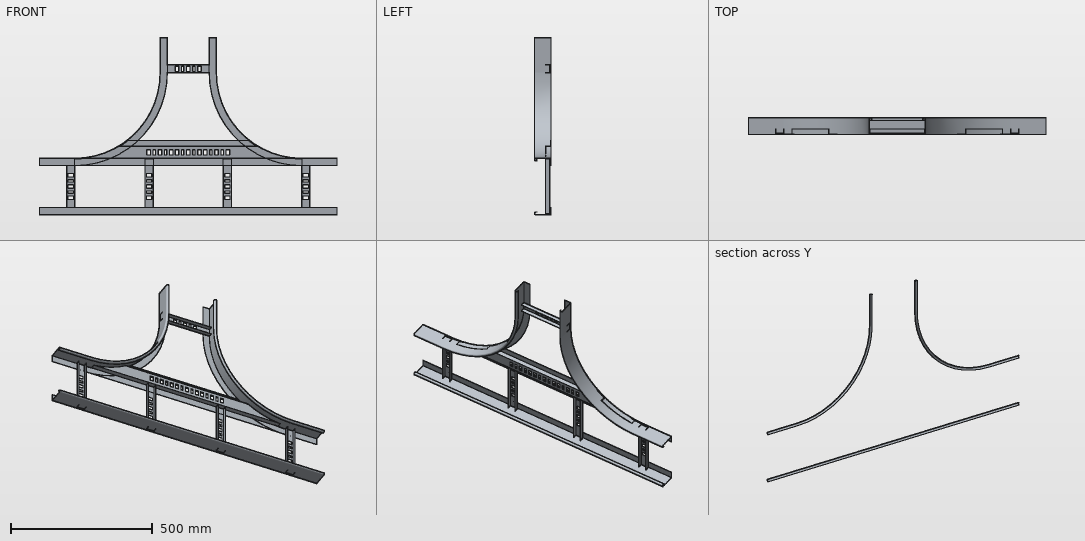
import cadquery as cq

length = 1050.0
height = 625.0
depth = 60.0
sheet = 1.4
clearance = 1.5

flange = 26.0
lip_radius = 5.0
lip_tail = 4.0
run_top = 200.0
branch_width = 200.0
bend_radius = 300.0

rung_width = 30.0
rung_depth = 16.0
rung_front = 4.7
rung_back = rung_front + rung_depth
rung_spacing = 276.0
rung_count = 4
top_rung_center = 515.0

slot_length = 18.0
wide_slot = 12.0
narrow_slot = 7.0
slot_pitch = 20.0
slots_per_row = 5

crossbar_recess_top = 240.0
crossbar_top = 262.0
crossbar_slot_rows = 3

branch_side = branch_width / 2
bend_x = branch_side + bend_radius
bend_z = run_top + bend_radius
web_underside = run_top - sheet


def rail_section(plane):
    """Closed rail outline: local x runs from the web to the flange tip, local y is the rail depth."""
    roll_y = depth - lip_radius
    return (
        cq.Workplane(plane)
        .moveTo(0, 0)
        .lineTo(flange, 0)
        .lineTo(flange, sheet)
        .lineTo(sheet, sheet)
        .lineTo(sheet, roll_y)
        .threePointArc((lip_radius, depth - sheet), (2 * lip_radius - sheet, roll_y))
        .lineTo(2 * lip_radius - sheet, roll_y - lip_tail)
        .lineTo(2 * lip_radius, roll_y - lip_tail)
        .lineTo(2 * lip_radius, roll_y)
        .threePointArc((lip_radius, depth), (0, roll_y))
        .close()
    )


def make_bottom_rail():
    """Straight rail with its web at the bottom and its flanges pointing up."""
    plane = cq.Plane(origin=(length / 2, 0, 0), xDir=(0, 0, 1), normal=(-1, 0, 0))
    return rail_section(plane).extrude(length).val()


def make_left_rail():
    """Rail that comes down the branch and bends through 90 degrees into the run."""
    plane = cq.Plane(origin=(-branch_side, 0, height), xDir=(1, 0, 0), normal=(0, 0, 1))
    bend_middle = bend_radius * 0.5**0.5
    path = (
        cq.Workplane("XZ")
        .moveTo(-branch_side, height)
        .lineTo(-branch_side, bend_z)
        .threePointArc((bend_middle - bend_x, bend_z - bend_middle), (-bend_x, run_top))
        .lineTo(-length / 2, run_top)
    )
    return rail_section(plane).sweep(path).val()


def slot_cutters(rows):
    """Upright slots in rows along X, centred on the origin and cutting through along Y."""
    count = rows * slots_per_row
    cutters = cq.Workplane("XY")
    for i in range(count):
        width = wide_slot if i % slots_per_row % 2 == 0 else narrow_slot
        x = (i - (count - 1) / 2) * slot_pitch
        cutters = cutters.add(cq.Workplane("XY").box(width, 2 * sheet, slot_length).translate((x, 0, 0)))
    return cutters.combine()


def make_rung(span):
    """Channel along X, open at the back, centred on the origin with its front face at the rung front."""
    bar = cq.Workplane("XY").box(span, rung_depth, rung_width)
    bar = bar.translate((0, rung_front + rung_depth / 2, 0))
    hollow = cq.Workplane("XY").box(span, rung_depth, rung_width - 2 * sheet)
    hollow = hollow.translate((0, rung_front + sheet + rung_depth / 2, 0))
    slots = slot_cutters(1).translate((0, rung_front + sheet / 2, 0))
    return bar.cut(hollow).cut(slots)


def make_run_rungs():
    """Upright rungs between the webs of the straight run."""
    rung = make_rung(web_underside - sheet - 2 * clearance).rotate((0, 0, 0), (0, 1, 0), 90)
    center_z = (sheet + web_underside) / 2
    rungs = []
    for i in range(rung_count):
        x = (i - (rung_count - 1) / 2) * rung_spacing
        rungs.append(rung.translate((x, 0, center_z)).val())
    return rungs


def make_top_rung():
    """Level rung between the webs of the branch."""
    return make_rung(branch_width - 2 * (sheet + clearance)).translate((0, 0, top_rung_center)).val()


def make_crossbar():
    """Hat section with a slotted recessed face, trimmed to the curved webs of the side rails."""
    flange_front = sheet
    flange_back = 2 * sheet
    bar = (
        cq.Workplane("YZ")
        .polyline(
            [
                (flange_front, run_top - flange),
                (flange_back, run_top - flange),
                (flange_back, web_underside),
                (rung_back, web_underside),
                (rung_back, crossbar_recess_top + sheet),
                (flange_back, crossbar_recess_top + sheet),
                (flange_back, crossbar_top),
                (flange_front, crossbar_top),
                (flange_front, crossbar_recess_top),
                (rung_back - sheet, crossbar_recess_top),
                (rung_back - sheet, run_top),
                (flange_front, run_top),
            ]
        )
        .close()
        .extrude(bend_x, both=True)
    )
    bends = (
        cq.Workplane("XZ")
        .pushPoints([(-bend_x, bend_z), (bend_x, bend_z)])
        .circle(bend_radius + sheet + clearance)
        .extrude(-depth)
    )
    slot_z = (run_top + crossbar_recess_top) / 2
    slots = slot_cutters(crossbar_slot_rows).translate((0, rung_back - sheet / 2, slot_z))
    return bar.cut(bends).cut(slots).val()


bottom_rail = make_bottom_rail()
left_rail = make_left_rail()
right_rail = left_rail.mirror("YZ")
run_rungs = make_run_rungs()
top_rung = make_top_rung()
crossbar = make_crossbar()

result = cq.Compound.makeCompound([bottom_rail, left_rail, right_rail, *run_rungs, top_rung, crossbar])